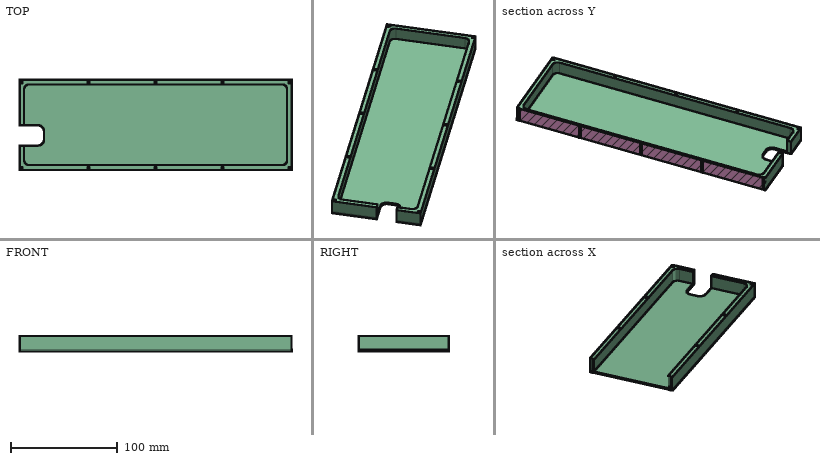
import cadquery as cq

plate_length = 256.0
width = 85.0
height = 15.0
plate_thickness = 2.0

frame_setback = 0.25
frame_length = plate_length - frame_setback
frame_height = height - plate_thickness
end_wall = 4.25
side_wall = 4.5
pocket_corner_radius = 5.0

notch_depth = 23.0
notch_width = 19.0
notch_center_y = -10.0
notch_corner_radius = 6.0

hole_diameter = 1.6
holes_per_side = 5
hole_end_inset = 2.0
front_hole_inset = 2.0
back_hole_inset = 2.75

plate_left = -plate_length / 2
frame_center_x = plate_left + frame_length / 2


def make_plate():
    """Thin floor of the tray, resting on Z = 0."""
    return cq.Workplane("XY").box(plate_length, width, plate_thickness, centered=(True, True, False))


def make_frame():
    """Rectangular rim with a rounded-corner opening down to the plate."""
    base = cq.Workplane("XY", origin=(frame_center_x, 0, plate_thickness))
    outer = base.rect(frame_length, width).extrude(frame_height)
    opening = (
        base.rect(frame_length - 2 * end_wall, width - 2 * side_wall)
        .extrude(frame_height)
        .edges("|Z")
        .fillet(pocket_corner_radius)
    )
    return outer.cut(opening)


def make_notch():
    """Cutter for the end notch, with its two inner corners rounded."""
    return (
        cq.Workplane("XY", origin=(plate_left + notch_depth / 2, notch_center_y, 0))
        .rect(notch_depth, notch_width)
        .extrude(height)
        .edges("|Z and >X")
        .fillet(notch_corner_radius)
    )


def make_hole_row(row_y):
    """Cutters for one row of evenly spaced through holes at the given Y."""
    pitch = (frame_length - 2 * hole_end_inset) / (holes_per_side - 1)
    return (
        cq.Workplane("XY", origin=(frame_center_x, row_y, 0))
        .rarray(pitch, 1, holes_per_side, 1)
        .circle(hole_diameter / 2)
        .extrude(height)
    )


result = make_plate().union(make_frame(), clean=False).cut(make_notch(), clean=False)
for row_y in (front_hole_inset - width / 2, width / 2 - back_hole_inset):
    result = result.cut(make_hole_row(row_y), clean=False)